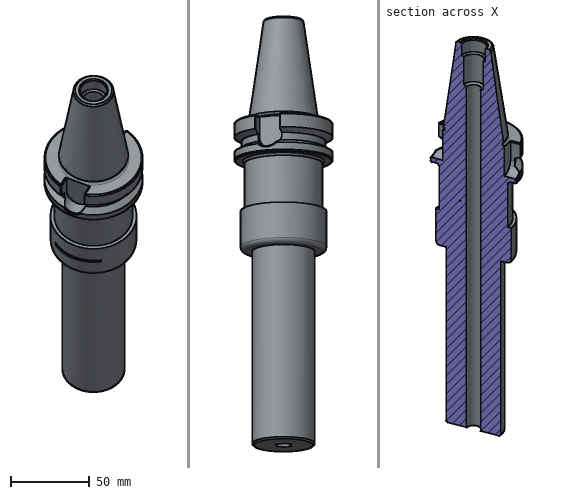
import cadquery as cq
import math

length = 278.5

gauge_z = 213.0
gauge_radius = 44.5 / 2
taper_ratio = 7 / 24
taper_chamfer = 1.0
taper_base_z = 213.8
relief_radius = 42.0 / 2
relief_z = 212.1
relief_fillet_end_radius = 45.0 / 2

flange_top_z = 211.0
flange_bottom_z = 186.0
flange_radius = 63.0 / 2
flange_chamfer = 0.8
groove_z = 196.5
groove_floor_radius = 53.7 / 2
groove_floor_width = 4.7
groove_wall_angle = 30
groove_wall_height = (flange_radius - groove_floor_radius) * math.tan(math.radians(groove_wall_angle))
groove_bottom_z = groove_z - groove_floor_width / 2 - groove_wall_height
groove_top_z = groove_z + groove_floor_width / 2 + groove_wall_height

body_radius = 50.0 / 2
body_cone_radius = 26.2
body_cone_end_z = 184.3

collar_top_z = 153.0
collar_bottom_z = 127.0
collar_radius = 55.0 / 2
collar_fillet = 3.0

nose_radius = 40.0 / 2
nose_chamfer = 1.0

slot_width = 16.1
slot_floor = 22.5
slot_end_z = 189.5
slot_chamfer = 0.7

mark_width = 32.9
mark_height = 1.7
mark_z = 140.5
mark_depth = 0.15

through_radius = 10.0 / 2
thread_radius = 14.0 / 2
thread_depth = 30.0
pilot_radius = 17.0 / 2
pilot_depth = 9.2
mouth_radius = 18.7 / 2
drill_point_angle = 30


def taper_radius(z):
    return gauge_radius - (z - gauge_z) * taper_ratio / 2


def make_body():
    """Revolve the outer outline, from the nose up to the end of the taper."""
    taper_end_z = length - taper_chamfer
    taper_end_radius = taper_radius(taper_end_z)
    outline = (
        cq.Workplane("XZ")
        .moveTo(0, 0)
        .lineTo(nose_radius - nose_chamfer, 0)
        .lineTo(nose_radius, nose_chamfer)
        .lineTo(nose_radius, collar_bottom_z)
        .lineTo(collar_radius - collar_fillet, collar_bottom_z)
        .radiusArc((collar_radius, collar_bottom_z + collar_fillet), -collar_fillet)
        .lineTo(collar_radius, collar_top_z)
        .lineTo(body_radius, collar_top_z)
        .lineTo(body_radius, body_cone_end_z)
        .lineTo(body_cone_radius, flange_bottom_z)
        .lineTo(flange_radius - flange_chamfer, flange_bottom_z)
        .lineTo(flange_radius, flange_bottom_z + flange_chamfer)
        .lineTo(flange_radius, groove_bottom_z)
        .lineTo(groove_floor_radius, groove_bottom_z + groove_wall_height)
        .lineTo(groove_floor_radius, groove_top_z - groove_wall_height)
        .lineTo(flange_radius, groove_top_z)
        .lineTo(flange_radius, flange_top_z - flange_chamfer)
        .lineTo(flange_radius - flange_chamfer, flange_top_z)
        .lineTo(relief_fillet_end_radius, flange_top_z)
        .radiusArc((relief_radius, relief_z), relief_fillet_end_radius - relief_radius)
        .lineTo(taper_radius(taper_base_z), taper_base_z)
        .lineTo(taper_end_radius, taper_end_z)
        .lineTo(taper_end_radius - taper_chamfer, length)
        .lineTo(0, length)
        .close()
    )
    return outline.revolve(360, (0, 0, 0), (0, 1, 0))


def make_bore():
    """Through hole with a wider threaded part and a pilot at the taper end."""
    slope = math.tan(math.radians(drill_point_angle))
    pilot_z = length - pilot_depth
    thread_z = length - thread_depth
    outline = (
        cq.Workplane("XZ")
        .moveTo(0, 0)
        .lineTo(through_radius, 0)
        .lineTo(through_radius, thread_z - (thread_radius - through_radius) * slope)
        .lineTo(thread_radius, thread_z)
        .lineTo(thread_radius, pilot_z - (pilot_radius - thread_radius) * slope)
        .lineTo(pilot_radius, pilot_z)
        .lineTo(pilot_radius, length - (mouth_radius - pilot_radius))
        .lineTo(mouth_radius, length)
        .lineTo(0, length)
        .close()
    )
    return outline.revolve(360, (0, 0, 0), (0, 1, 0))


def make_slot(side):
    """Cutter for the round-ended drive slot; side is -1 for the -Y side and 1 for the +Y side."""
    half = slot_width / 2
    center_z = slot_end_z + half
    plane = cq.Plane(origin=(0, side * slot_floor, 0), xDir=(-side, 0, 0), normal=(0, side, 0))
    return (
        cq.Workplane(plane)
        .moveTo(-half, center_z)
        .threePointArc((0, slot_end_z), (half, center_z))
        .lineTo(half, length)
        .lineTo(-half, length)
        .close()
        .extrude(flange_radius)
    )


def make_mark():
    """Cutter for the narrow mark on the -Y side of the collar, following its round surface."""
    ring = (
        cq.Workplane("XY", origin=(0, 0, mark_z - mark_height / 2))
        .circle(collar_radius)
        .circle(collar_radius - mark_depth)
        .extrude(mark_height)
    )
    window = cq.Workplane("XY").box(mark_width, collar_radius, length, (True, False, False))
    return ring.intersect(window.translate((0, -collar_radius, 0)))


def bevel_slot(body, side):
    """Bevel the slot edges on the top and the rim of the flange, leaving those in the V groove sharp."""
    reach = slot_width / 2 + slot_chamfer
    near_y = side * (slot_floor + slot_chamfer)
    far_y = side * flange_radius

    def edges_between(low_z, high_z):
        return body.edges(cq.selectors.BoxSelector((-reach, near_y, low_z), (reach, far_y, high_z)))

    upper_edges = edges_between(groove_top_z, flange_top_z + slot_chamfer)
    lower_edges = edges_between(flange_bottom_z + flange_chamfer, groove_bottom_z)
    return upper_edges.add(lower_edges).chamfer(slot_chamfer)


result = make_body().cut(make_bore())
for slot_side in (-1, 1):
    result = result.cut(make_slot(slot_side))
    result = bevel_slot(result, slot_side)
result = result.cut(make_mark())